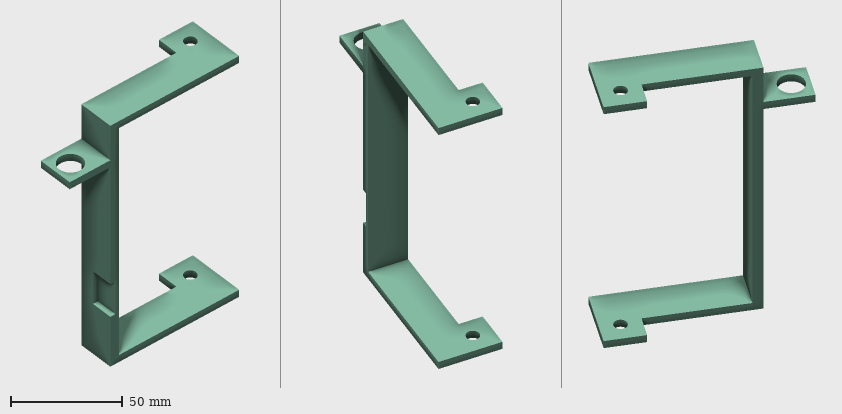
import cadquery as cq

height = 140.0
width = 32.0
spine_width = 20.0
spine_thickness = 5.0
plate_thickness = 4.0

arm_length = 76.0
tab_length = 20.0
tab_hole_diameter = 6.6
tab_hole_inset = 10.0

lug_length = 24.0
lug_top_drop = 20.0
lug_hole_diameter = 13.2
lug_hole_inset = 9.0

pocket_width = 12.0
pocket_height = 19.0
pocket_bottom = 29.0
pocket_depth = 3.0

spine_left = width - spine_width


def box(x, y, z, length, depth, tall):
    """Box with its lowest corner at (x, y, z)."""
    return cq.Workplane("XY").box(length, depth, tall, centered=False).translate((x, y, z))


def vertical_hole(x, y, bottom, diameter):
    """Cutter through one plate thickness."""
    return cq.Workplane("XY", origin=(x, y, bottom)).circle(diameter / 2).extrude(plate_thickness)


def arm(bottom):
    """L-shaped arm with a hole in its tab."""
    strip = box(spine_left, 0, bottom, spine_width, arm_length, plate_thickness)
    tab = box(0, arm_length - tab_length, bottom, width, tab_length, plate_thickness)
    hole = vertical_hole(tab_hole_inset, arm_length - tab_hole_inset, bottom, tab_hole_diameter)
    return strip.union(tab).cut(hole)


def lug():
    """Square-ended lug with a large hole centred across it."""
    bottom = height - lug_top_drop - plate_thickness
    plate = box(spine_left, -lug_length, bottom, spine_width, lug_length, plate_thickness)
    hole = vertical_hole(
        spine_left + spine_width / 2, -lug_length + lug_hole_inset, bottom, lug_hole_diameter
    )
    return plate.cut(hole)


spine = box(spine_left, 0, 0, spine_width, spine_thickness, height)
pocket = box(width - pocket_width, 0, pocket_bottom, pocket_width, pocket_depth, pocket_height)

result = spine.cut(pocket).union(lug())
for arm_bottom in (0, height - plate_thickness):
    result = result.union(arm(arm_bottom))